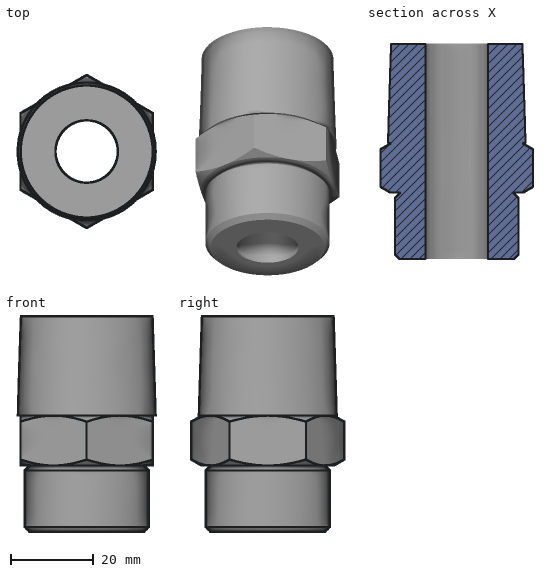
import cadquery as cq
import math

stud_length = 16.0
hex_height = 12.0
taper_length = 24.0
hex_bottom = stud_length
hex_top = hex_bottom + hex_height
total_height = hex_top + taper_length

stud_radius = 15.0
end_chamfer = 1.2
neck_chamfer = 1.2

across_flats = 32.0
half_side_angle = 30
across_corners = across_flats / math.cos(math.radians(half_side_angle))
corner_radius = across_corners / 2
crown_angle = math.radians(30)
crown_radius = across_flats / 2
crown_height = (corner_radius - crown_radius) * math.tan(crown_angle)

taper_bottom_diameter = 33.34
diameter_taper = 1 / 16
taper_top_diameter = taper_bottom_diameter - taper_length * diameter_taper

bore_diameter = 15.0


def revolve_profile(points):
    """Turn a closed (radius, height) profile about the Z axis."""
    return cq.Workplane("XZ").polyline(points).close().revolve(360, (0, 0, 0), (0, 1, 0))


def make_stud():
    return revolve_profile([
        (0, 0),
        (stud_radius - end_chamfer, 0),
        (stud_radius, end_chamfer),
        (stud_radius, hex_bottom - neck_chamfer),
        (stud_radius - neck_chamfer, hex_bottom),
        (0, hex_bottom),
    ])


def make_hexagon():
    prism = (
        cq.Workplane("XY", origin=(0, 0, hex_bottom))
        .polygon(6, across_corners)
        .extrude(hex_height)
        .rotate((0, 0, 0), (0, 0, 1), half_side_angle)
    )
    crown = revolve_profile([
        (0, hex_bottom),
        (crown_radius, hex_bottom),
        (corner_radius, hex_bottom + crown_height),
        (corner_radius, hex_top - crown_height),
        (crown_radius, hex_top),
        (0, hex_top),
    ])
    return prism.intersect(crown)


def make_taper():
    return revolve_profile([
        (0, hex_top),
        (taper_bottom_diameter / 2, hex_top),
        (taper_top_diameter / 2, total_height),
        (0, total_height),
    ])


def make_bore():
    return cq.Workplane("XY").circle(bore_diameter / 2).extrude(total_height)


result = make_stud().union(make_hexagon()).union(make_taper()).cut(make_bore())